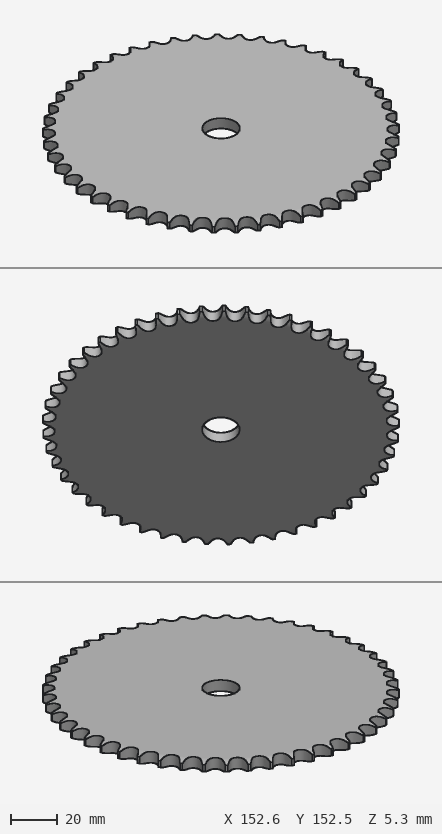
import cadquery as cq
import math

tooth_count = 49
tip_radius = 76.3
thickness = 5.3
half_thickness = thickness / 2
bore_diameter = 16.0
first_gap_angle = 90.0

pitch_radius = 74.3
roller_diameter = 6.4

seat_radius = roller_diameter / 2
seat_turn = -53.8
working_radius = 1.3 * roller_diameter
working_turn = -16.9
straight_length = 0.9
topping_radius = 0.8 * roller_diameter
topping_turn = 25.0

bevel_width = 4.5
bevel_radius = 9.5
bevel_start_radius = tip_radius - bevel_width


def bevel_height(radius):
    """Height of the upper bevel surface at a given distance from the axis."""
    run = radius - bevel_start_radius
    return half_thickness - bevel_radius + math.sqrt(bevel_radius**2 - run**2)


def make_blank():
    """Bored disc with both faces falling away in an arc towards the rim."""
    bore_radius = bore_diameter / 2
    middle_radius = tip_radius - bevel_width / 2
    middle_height = bevel_height(middle_radius)
    tip_height = bevel_height(tip_radius)
    section = (
        cq.Workplane("XZ")
        .moveTo(bore_radius, -half_thickness)
        .lineTo(bevel_start_radius, -half_thickness)
        .threePointArc((middle_radius, -middle_height), (tip_radius, -tip_height))
        .lineTo(tip_radius, tip_height)
        .threePointArc((middle_radius, middle_height), (bevel_start_radius, half_thickness))
        .lineTo(bore_radius, half_thickness)
        .close()
    )
    return section.revolve(360, (0, 0, 0), (0, 1, 0))


def step(point, heading, length):
    """Point reached by a straight move along a heading in degrees."""
    angle = math.radians(heading)
    return (point[0] + length * math.cos(angle), point[1] + length * math.sin(angle))


def arc_step(point, heading, radius, turn):
    """Point reached along an arc that leaves on a heading and turns by an angle."""
    chord = 2 * radius * math.sin(math.radians(abs(turn)) / 2)
    return step(point, heading + turn / 2, chord)


def make_half_gap():
    """Prism of the +Y half of a tooth gap that opens along +X."""
    root = (pitch_radius - seat_radius, 0)
    heading = 90
    seat_middle = arc_step(root, heading, seat_radius, seat_turn / 2)
    seat_end = arc_step(root, heading, seat_radius, seat_turn)

    heading += seat_turn
    working_middle = arc_step(seat_end, heading, working_radius, working_turn / 2)
    working_end = arc_step(seat_end, heading, working_radius, working_turn)

    heading += working_turn
    straight_end = step(working_end, heading, straight_length)
    topping_middle = arc_step(straight_end, heading, topping_radius, topping_turn / 2)
    topping_end = arc_step(straight_end, heading, topping_radius, topping_turn)

    return (
        cq.Workplane("XY")
        .moveTo(*root)
        .threePointArc(seat_middle, seat_end)
        .threePointArc(working_middle, working_end)
        .lineTo(*straight_end)
        .threePointArc(topping_middle, topping_end)
        .lineTo(topping_end[0], 0)
        .close()
        .extrude(half_thickness, both=True)
    )


half_gap = make_half_gap()
gap_cutter = half_gap.union(half_gap.mirror("XZ"))
result = make_blank()
for index in range(tooth_count):
    gap_angle = first_gap_angle + index * 360 / tooth_count
    result = result.cut(gap_cutter.rotate((0, 0, 0), (0, 0, 1), gap_angle))